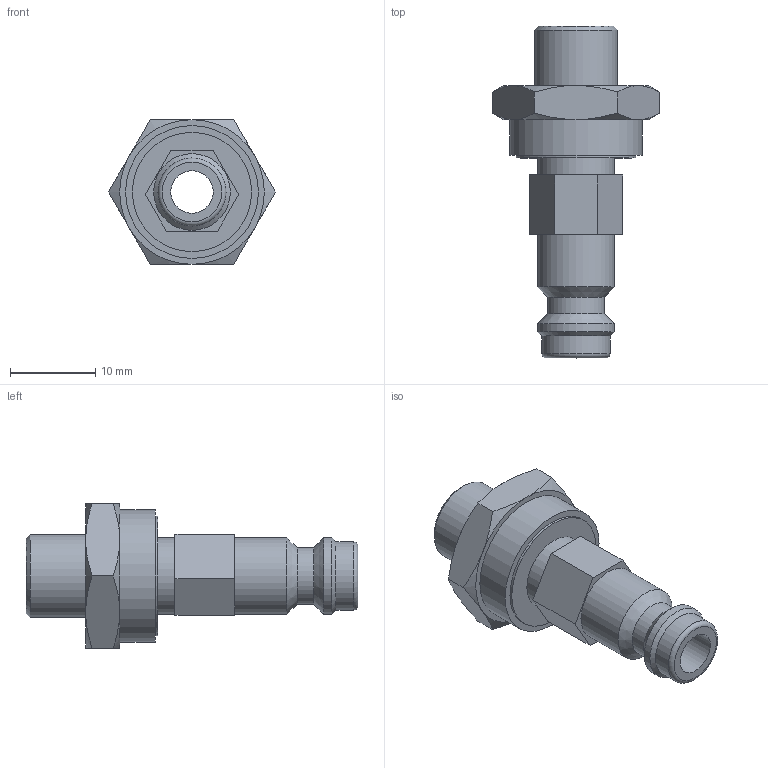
import cadquery as cq
import math

total_length = 39.0
bore_radius = 2.5
hex_sides = 6
hex_step = math.radians(360 / hex_sides)

tip_radius = 4.0
tip_fillet = 0.5
tip_end = 2.6
plug_radius = 4.5
bead_start = 3.05
bead_end = 4.0
groove_radius = 3.35
groove_start = 5.2
groove_end = 7.15
groove_cone_end = 8.35

spanner_start = 14.5
spanner_end = 21.5
spanner_far_flat = 4.9
spanner_near_flat = 4.6

face_start = 23.5
face_radius = 7.0
collar_start = 23.8
collar_radius = 7.8

nut_start = 28.0
nut_end = 32.0
nut_across_flats = 17.0
nut_flat = nut_across_flats / 2
nut_chamfer_angle = math.radians(30)
nut_corner = nut_flat / math.cos(hex_step / 2)
nut_chamfer_height = (nut_corner - nut_flat) * math.tan(nut_chamfer_angle)

thread_radius = 4.865
thread_chamfer = 0.5


def revolve_about_y(profile):
    """Turn a closed (radius, Y) profile around the Y axis."""
    return profile.close().revolve(360, (0, 0, 0), (0, 1, 0))


def extrude_along_y(points, start, end):
    """Extrude a closed (X, Z) outline from Y = start to Y = end."""
    plane = cq.Plane(origin=(0, start, 0), xDir=(1, 0, 0), normal=(0, -1, 0))
    return cq.Workplane(plane).polyline(points).close().extrude(start - end)


def hexagon_points(top_flat, bottom_flat):
    """Corners of a 60-degree hexagon whose flats alternate between two distances from the axis."""
    flats = [top_flat, bottom_flat] * (hex_sides // 2)
    points = []
    for i in range(hex_sides):
        angle = math.pi / 2 + hex_step * i
        this_flat = flats[i]
        next_flat = flats[(i + 1) % hex_sides]
        along = (next_flat - this_flat * math.cos(hex_step)) / math.sin(hex_step)
        x = this_flat * math.cos(angle) - along * math.sin(angle)
        z = this_flat * math.sin(angle) + along * math.cos(angle)
        points.append((x, z))
    return points


def make_turned_body():
    fillet_inset = tip_fillet * (1 - math.sqrt(0.5))
    profile = (
        cq.Workplane("XY")
        .moveTo(0, 0)
        .lineTo(tip_radius - tip_fillet, 0)
        .threePointArc((tip_radius - fillet_inset, fillet_inset), (tip_radius, tip_fillet))
        .lineTo(tip_radius, tip_end)
        .lineTo(plug_radius, bead_start)
        .lineTo(plug_radius, bead_end)
        .lineTo(groove_radius, groove_start)
        .lineTo(groove_radius, groove_end)
        .lineTo(plug_radius, groove_cone_end)
        .lineTo(plug_radius, face_start)
        .lineTo(face_radius, face_start)
        .lineTo(face_radius, collar_start)
        .lineTo(collar_radius, collar_start)
        .lineTo(collar_radius, nut_start)
        .lineTo(thread_radius, nut_start)
        .lineTo(thread_radius, total_length - thread_chamfer)
        .lineTo(thread_radius - thread_chamfer, total_length)
        .lineTo(0, total_length)
    )
    return revolve_about_y(profile)


def make_spanner_hexagon():
    return extrude_along_y(hexagon_points(spanner_far_flat, spanner_near_flat), spanner_start, spanner_end)


def make_nut():
    hexagon = extrude_along_y(hexagon_points(nut_flat, nut_flat), nut_start, nut_end)
    chamfer_limits = revolve_about_y(
        cq.Workplane("XY")
        .moveTo(0, nut_start)
        .lineTo(nut_flat, nut_start)
        .lineTo(nut_corner, nut_start + nut_chamfer_height)
        .lineTo(nut_corner, nut_end - nut_chamfer_height)
        .lineTo(nut_flat, nut_end)
        .lineTo(0, nut_end)
    )
    return hexagon.intersect(chamfer_limits)


def make_bore():
    profile = (
        cq.Workplane("XY")
        .moveTo(0, 0)
        .lineTo(bore_radius, 0)
        .lineTo(bore_radius, total_length)
        .lineTo(0, total_length)
    )
    return revolve_about_y(profile)


result = make_turned_body().union(make_spanner_hexagon()).union(make_nut()).cut(make_bore())